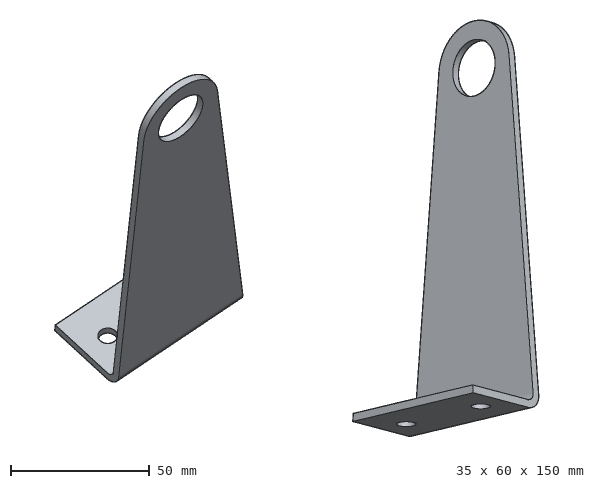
import cadquery as cq
import math

height = 150.0
base_depth = 35.0
base_width = 60.0
thickness = 3.0
bend_inner_radius = 3.0
bend_outer_radius = bend_inner_radius + thickness

top_radius = 17.5
eye_diameter = 21.0
eye_height = height - top_radius

mount_diameter = 7.0
mount_spacing = 37.0
mount_setback = 16.0


def bent_sheet():
    """L-shaped sheet with a rounded bend, centred on Y."""
    profile = (
        cq.Workplane("XZ")
        .polyline([
            (0, 0),
            (base_depth, 0),
            (base_depth, height),
            (base_depth - thickness, height),
            (base_depth - thickness, thickness),
            (0, thickness),
        ])
        .close()
        .extrude(base_width / 2, both=True)
    )
    outer_corner = cq.selectors.NearestToPointSelector((base_depth, 0, 0))
    inner_corner = cq.selectors.NearestToPointSelector((base_depth - thickness, 0, thickness))
    profile = profile.edges("|Y").edges(outer_corner).fillet(bend_outer_radius)
    return profile.edges("|Y").edges(inner_corner).fillet(bend_inner_radius)


def tapered_outline():
    """Block with straight sides running tangent into the rounded top."""
    half_width = base_width / 2
    centre_distance = math.hypot(half_width, eye_height)
    tangent_angle = math.acos(top_radius / centre_distance) - math.atan2(eye_height, half_width)
    tangent_y = top_radius * math.cos(tangent_angle)
    tangent_z = eye_height + top_radius * math.sin(tangent_angle)
    return (
        cq.Workplane("YZ")
        .moveTo(-half_width, 0)
        .lineTo(half_width, 0)
        .lineTo(tangent_y, tangent_z)
        .threePointArc((0, height), (-tangent_y, tangent_z))
        .close()
        .extrude(base_depth)
    )


def eye_hole():
    return (
        cq.Workplane("YZ")
        .center(0, eye_height)
        .circle(eye_diameter / 2)
        .extrude(base_depth)
    )


def mounting_holes():
    half_spacing = mount_spacing / 2
    return (
        cq.Workplane("XY")
        .pushPoints([(mount_setback, side * half_spacing) for side in (-1, 1)])
        .circle(mount_diameter / 2)
        .extrude(thickness)
    )


result = bent_sheet().intersect(tapered_outline()).cut(eye_hole()).cut(mounting_holes())